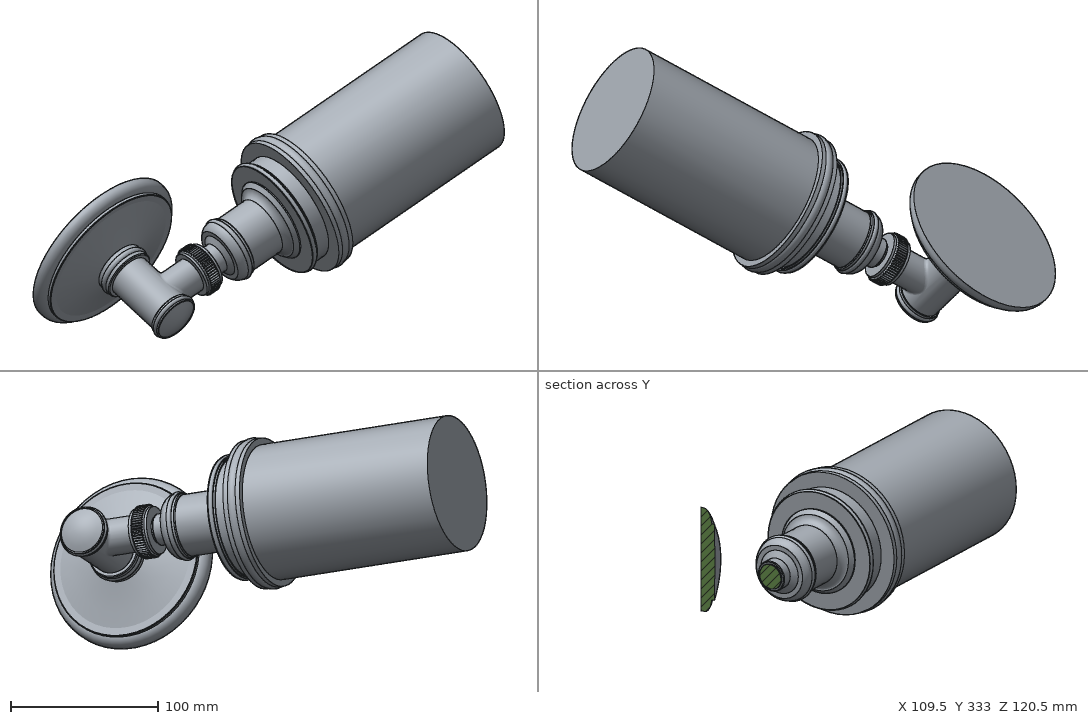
import cadquery as cq
import math


canopy_radius = 60.25
canopy_rim_end = 2.5
canopy_shoulder_end = 9.0
canopy_shoulder_radius = 54.5
canopy_step_end = 11.5
canopy_step_bevel = 0.5
canopy_bell_radius = 49.0
canopy_bell_middle = (36.5, 14.6)
canopy_bell_end = 20.0

collar_radius = 18.5
collar_bead_start = 23.0
collar_bead_end = 27.3
collar_end = 30.7
collar_bevel = 0.7
bead_height = 1.0
arm_radius = 15.5
arm_end = 73.0
cap_radius = 16.5
cap_bead_start = 74.7
cap_bead_end = 78.0
cap_step_end = 79.2
dome_radius = 15.5
arm_tip = 83.4

stem_x = 57.45
stem_radius = 12.6
stem_fillet = 2.2
knob_start = 32.3
knob_end = 46.0
knob_radius = 18.3
knob_face_radius = 16.4
knob_lip_length = 1.9
knob_bevel_length = 1.5
knurl_count = 60
knurl_depth = 1.0
neck_groove_radius = 9.0
neck_radius = 10.8
neck_start = 47.6
neck_end = 54.9
neck_chamfer = 0.6

cup_hollow_middle = (13.2, 56.3)
cup_hollow_end = (15.5, 57.7)
cup_base_radius = 19.0
cup_round_middle = (20.8, 59.4)
cup_round_end = (22.3, 61.9)
cup_band_radius = 22.6
cup_lip_bevel = 0.7
cup_bead_start = 63.9
cup_bead_end = 67.5
cup_lip_radius = 22.3
cup_end = 70.0
tube_radius = 21.2

flare_start = 95.6
flare_middle = (22.9, 98.4)
flare_end = (26.4, 100.4)
flare_step_radius = 27.3
ogee_middle = (28.4, 101.6)
ogee_end_radius = 30.2
ogee_end = 103.4
holder_start = 104.4
rim_radius = 42.2
rim_bead_start = 105.0
rim_bead_end = 108.4
rim_end = 109.8
rim_lip_radius = 41.3
body_radius = 40.4

flange_start = 120.6
flange_bead_start = 123.9
flange_bead_end = 129.8
flange_end = 133.1
flange_radius = 51.0
flange_bead_height = 1.0
shade_radius = 46.5
shade_end = 272.76


def bead(sketch, start, end, radius, height):
    """Add a rounded bulge of the given height to a (radius, axial) outline."""
    sketch = sketch.lineTo(radius, start)
    return sketch.threePointArc((radius + height, (start + end) / 2), (radius, end))


def revolve_outline(sketch, end):
    """Close a (radius, axial) outline to the Y axis and revolve it about that axis."""
    return sketch.lineTo(0, end).close().revolve(360, (0, 0, 0), (0, 1, 0))


def make_arm():
    """Canopy, collar, arm and end cap, turned about Y and then laid along +X."""
    sketch = cq.Workplane("XY").lineTo(canopy_radius, 0).lineTo(canopy_radius, canopy_rim_end)
    sketch = sketch.tangentArcPoint((canopy_shoulder_radius, canopy_shoulder_end), relative=False)
    sketch = sketch.lineTo(canopy_shoulder_radius, canopy_step_end - canopy_step_bevel)
    sketch = sketch.lineTo(canopy_shoulder_radius - canopy_step_bevel, canopy_step_end)
    sketch = sketch.lineTo(canopy_bell_radius, canopy_step_end)
    sketch = sketch.threePointArc(canopy_bell_middle, (collar_radius, canopy_bell_end))
    sketch = bead(sketch, collar_bead_start, collar_bead_end, collar_radius, bead_height)
    sketch = sketch.lineTo(collar_radius, collar_end - collar_bevel)
    sketch = sketch.lineTo(collar_radius - collar_bevel, collar_end)
    sketch = sketch.lineTo(arm_radius, collar_end).lineTo(arm_radius, arm_end)
    sketch = sketch.lineTo(cap_radius, arm_end)
    sketch = bead(sketch, cap_bead_start, cap_bead_end, cap_radius, bead_height)
    sketch = sketch.lineTo(cap_radius, cap_step_end).lineTo(dome_radius, cap_step_end)
    dome_height = arm_tip - cap_step_end
    sphere_radius = (dome_radius**2 + dome_height**2) / (2 * dome_height)
    half_radius = dome_radius / 2
    half_level = arm_tip - sphere_radius + (sphere_radius**2 - half_radius**2) ** 0.5
    sketch = sketch.threePointArc((half_radius, half_level), (0, arm_tip))
    return sketch.close().revolve(360, (0, 0, 0), (0, 1, 0)).rotate((0, 0, 0), (0, 0, 1), -90)


def make_tee():
    """Arm joined to the plain stem, with a fillet along their meeting curve."""
    stem = cq.Workplane("XZ", origin=(stem_x, 0, 0)).circle(stem_radius).extrude(-knob_start)
    low_corner = (stem_x - arm_radius, 0, -arm_radius)
    high_corner = (stem_x + arm_radius, arm_radius, arm_radius)
    near_joint = cq.selectors.BoxSelector(low_corner, high_corner)
    return make_arm().union(stem).edges(near_joint).edges("not %CIRCLE").fillet(stem_fillet)


def make_knob():
    """Turned nut with a lip at each face, bevelled shoulders and a straight-knurled rim."""
    sketch = cq.Workplane("XY").moveTo(0, knob_start).lineTo(knob_face_radius, knob_start)
    sketch = sketch.lineTo(knob_face_radius, knob_start + knob_lip_length)
    sketch = sketch.lineTo(knob_radius, knob_start + knob_lip_length + knob_bevel_length)
    sketch = sketch.lineTo(knob_radius, knob_end - knob_lip_length - knob_bevel_length)
    sketch = sketch.lineTo(knob_face_radius, knob_end - knob_lip_length)
    sketch = sketch.lineTo(knob_face_radius, knob_end)
    return revolve_outline(sketch, knob_end).intersect(make_knurl())


def make_knurl():
    """Prism along Y whose star outline leaves V-shaped grooves around the knob."""
    half_pitch = math.pi / knurl_count
    points = []
    for i in range(2 * knurl_count):
        radius = knob_radius if i % 2 == 0 else knob_radius - knurl_depth
        points.append((radius * math.cos(i * half_pitch), radius * math.sin(i * half_pitch)))
    outline = cq.Workplane("XZ", origin=(0, knob_start, 0)).polyline(points).close()
    return outline.extrude(knob_start - knob_end)


def make_head():
    """Neck, cup, tube, flared holder, flange and shade as one turned solid."""
    sketch = cq.Workplane("XY").moveTo(0, knob_end).lineTo(neck_groove_radius, knob_end)
    sketch = sketch.lineTo(neck_groove_radius, neck_start)
    sketch = sketch.lineTo(neck_radius - neck_chamfer, neck_start)
    sketch = sketch.lineTo(neck_radius, neck_start + neck_chamfer).lineTo(neck_radius, neck_end)
    sketch = sketch.threePointArc(cup_hollow_middle, cup_hollow_end)
    sketch = sketch.lineTo(cup_base_radius, cup_hollow_end[1])
    sketch = sketch.threePointArc(cup_round_middle, cup_round_end)
    sketch = bead(sketch, cup_bead_start, cup_bead_end, cup_band_radius, bead_height)
    sketch = sketch.lineTo(cup_lip_radius, cup_bead_end)
    sketch = sketch.lineTo(cup_lip_radius, cup_end - cup_lip_bevel)
    sketch = sketch.lineTo(cup_lip_radius - cup_lip_bevel, cup_end)
    sketch = sketch.lineTo(tube_radius, cup_end).lineTo(tube_radius, flare_start)
    sketch = sketch.threePointArc(flare_middle, flare_end)
    sketch = sketch.lineTo(flare_step_radius, flare_end[1])
    sketch = sketch.threePointArc(ogee_middle, (ogee_end_radius, ogee_end))
    sketch = sketch.lineTo(ogee_end_radius, holder_start)
    sketch = sketch.lineTo(rim_radius, holder_start)
    sketch = bead(sketch, rim_bead_start, rim_bead_end, rim_radius, bead_height)
    sketch = sketch.lineTo(rim_lip_radius, rim_bead_end).lineTo(rim_lip_radius, rim_end)
    sketch = sketch.lineTo(body_radius, rim_end).lineTo(body_radius, flange_start)
    sketch = sketch.lineTo(flange_radius, flange_start)
    sketch = bead(sketch, flange_bead_start, flange_bead_end, flange_radius, flange_bead_height)
    sketch = sketch.lineTo(flange_radius, flange_end).lineTo(shade_radius, flange_end)
    sketch = sketch.lineTo(shade_radius, shade_end)
    return revolve_outline(sketch, shade_end)


stem_offset = (stem_x, 0, 0)
knob = make_knob().translate(stem_offset)
head = make_head().translate(stem_offset)
result = make_tee().union(knob).union(head)